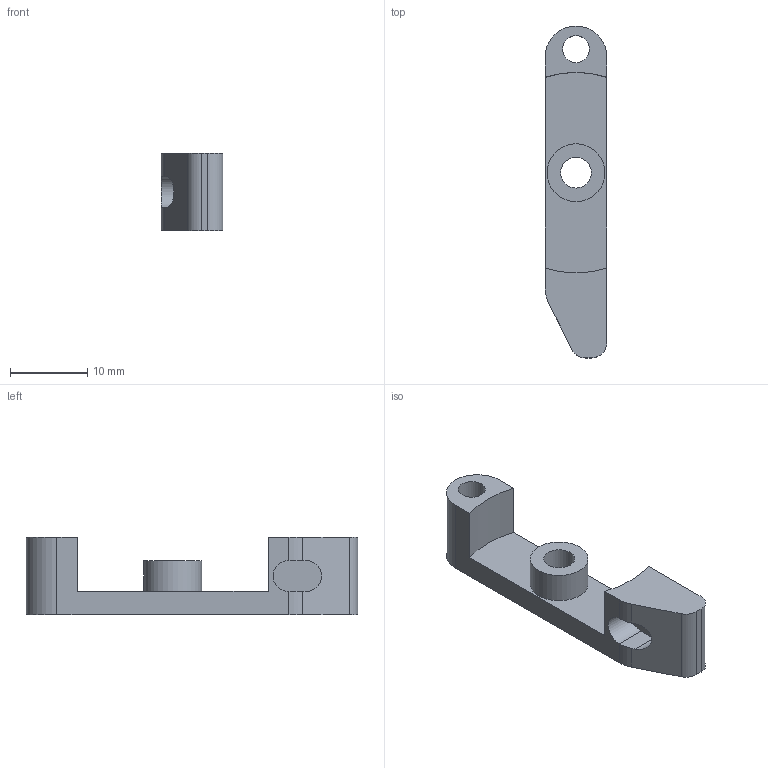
import cadquery as cq

WIDTH = 8.0
HEIGHT = 10.0
HALF_WIDTH = WIDTH / 2
ROUND_END_Y = 19.0
NOSE_END_Y = -24.0

TAPER_START_Y = -16.0
TAPER_END_X = 0.0
TAPER_BLEND_RADIUS = 4.0
NOSE_CORNER_RADIUS = 2.0

FLOOR_HEIGHT = 3.0
GAP_RADIUS = 13.0

BOSS_DIAMETER = 7.5
BOSS_BORE_DIAMETER = 4.0
BOSS_TOP_Z = 7.0

END_HOLE_DIAMETER = 3.5
END_HOLE_Y = 16.0

SLOT_WIDTH = 4.0
SLOT_LENGTH = 6.3
SLOT_START_Y = -13.0
SLOT_DEPTH = 4.0


def make_body():
    """Full-height bar with one round end and one tapered nose."""
    round_center_y = ROUND_END_Y - HALF_WIDTH
    bar = (
        cq.Workplane("XY")
        .moveTo(HALF_WIDTH, round_center_y)
        .threePointArc((0, ROUND_END_Y), (-HALF_WIDTH, round_center_y))
        .lineTo(-HALF_WIDTH, TAPER_START_Y)
        .lineTo(TAPER_END_X, NOSE_END_Y)
        .lineTo(HALF_WIDTH, NOSE_END_Y)
        .close()
        .extrude(HEIGHT)
    )
    taper_start = cq.selectors.NearestToPointSelector((-HALF_WIDTH, TAPER_START_Y, HEIGHT / 2))
    bar = bar.edges(taper_start).fillet(TAPER_BLEND_RADIUS)
    return bar.faces("<Y").edges("|Z").fillet(NOSE_CORNER_RADIUS)


def make_gap():
    """Cylindrical clearance above the floor."""
    return cq.Workplane("XY").workplane(offset=FLOOR_HEIGHT).circle(GAP_RADIUS).extrude(HEIGHT - FLOOR_HEIGHT)


def make_boss():
    """Round boss standing on the floor."""
    boss_height = BOSS_TOP_Z - FLOOR_HEIGHT
    return cq.Workplane("XY").workplane(offset=FLOOR_HEIGHT).circle(BOSS_DIAMETER / 2).extrude(boss_height)


def make_through_hole(y, diameter):
    """Vertical hole on the centre line."""
    return cq.Workplane("XY").center(0, y).circle(diameter / 2).extrude(HEIGHT)


def make_side_slot():
    """Round-ended slot at mid-height, cut along +X from the -X side."""
    return (
        cq.Workplane("YZ")
        .workplane(offset=-HALF_WIDTH)
        .center(SLOT_START_Y - SLOT_LENGTH / 2, HEIGHT / 2)
        .slot2D(SLOT_LENGTH, SLOT_WIDTH)
        .extrude(SLOT_DEPTH)
    )


result = (
    make_body()
    .cut(make_gap())
    .union(make_boss())
    .cut(make_through_hole(0, BOSS_BORE_DIAMETER))
    .cut(make_through_hole(END_HOLE_Y, END_HOLE_DIAMETER))
    .cut(make_side_slot())
)